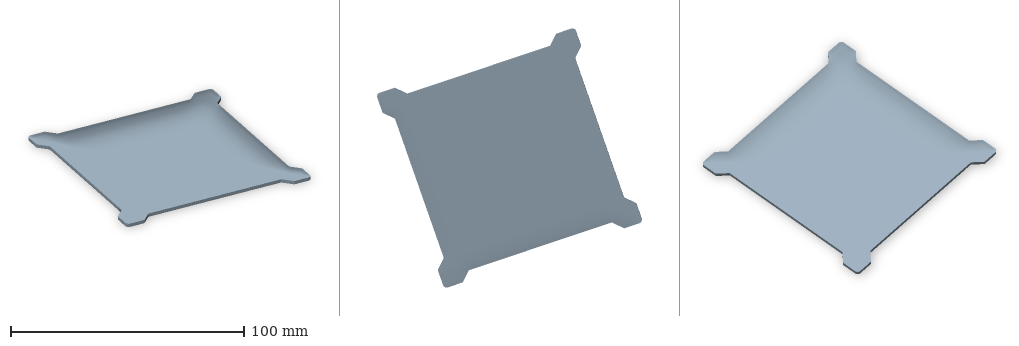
import cadquery as cq

overall_size = 89.92
thickness = 1.58
edge_recess = 4.18
tab_length = 8.42
corner_radius = 1.6

relief_mouth = overall_size - 2 * tab_length
relief_floor = relief_mouth - 2 * edge_recess


def make_plate():
    """Square plate centred on the Z axis, with rounded outer corners."""
    plate = cq.Workplane("XY").rect(overall_size, overall_size).extrude(thickness)
    return plate.edges("|Z").fillet(corner_radius)


def make_relief():
    """Trapezoidal cutter for the relief on the -Y side of the plate."""
    outer_y = -overall_size / 2
    inner_y = outer_y + edge_recess
    return (
        cq.Workplane("XY")
        .moveTo(-relief_mouth / 2, outer_y)
        .lineTo(relief_mouth / 2, outer_y)
        .lineTo(relief_floor / 2, inner_y)
        .lineTo(-relief_floor / 2, inner_y)
        .close()
        .extrude(thickness)
    )


result = make_plate()
for side_angle in (0, 90, 180, 270):
    result = result.cut(make_relief().rotate((0, 0, 0), (0, 0, 1), side_angle))